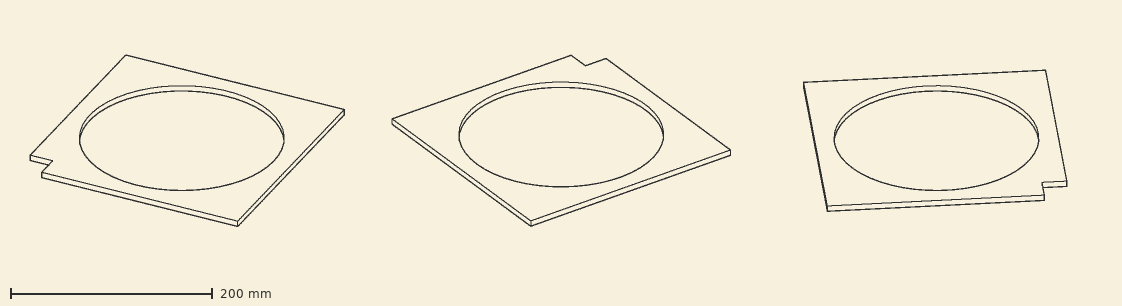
import cadquery as cq

side = 241.3
thickness = 6.3
opening_diameter = 203.2
notch_side = 24.9


def square_plate():
    return cq.Workplane("XY").rect(side, side).extrude(thickness)


def round_opening():
    return cq.Workplane("XY").circle(opening_diameter / 2).extrude(thickness)


def corner_notch():
    return (
        cq.Workplane("XY")
        .center(-side / 2, -side / 2)
        .rect(2 * notch_side, 2 * notch_side)
        .extrude(thickness)
    )


result = square_plate().cut(round_opening()).cut(corner_notch())